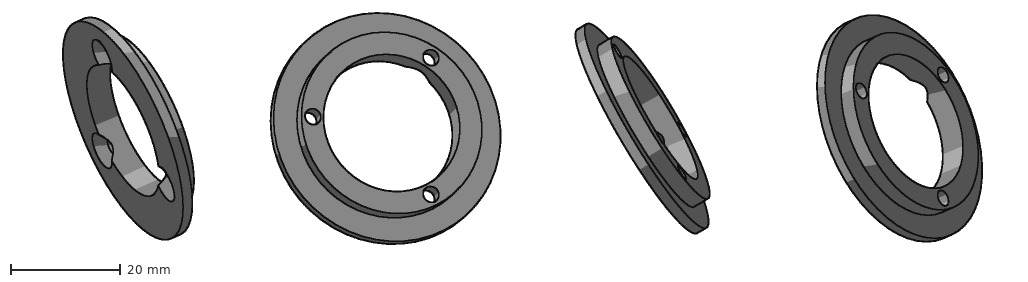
import cadquery as cq

flange_diameter = 43.3
flange_thickness = 2.0
spigot_diameter = 34.4
total_thickness = 5.0
bore_diameter = 26.0

screw_count = 3
screw_circle_diameter = 30.0
screw_hole_diameter = 3.0
countersink_diameter = 7.0
countersink_angle = 90.0

flange = cq.Workplane("XZ").circle(flange_diameter / 2).extrude(-flange_thickness)
spigot = cq.Workplane("XZ").circle(spigot_diameter / 2).extrude(-total_thickness)
bore = cq.Workplane("XZ").circle(bore_diameter / 2).extrude(-total_thickness)
ring = flange.union(spigot).cut(bore)

result = (
    ring.copyWorkplane(cq.Workplane("XZ"))
    .polarArray(screw_circle_diameter / 2, 0, 360, screw_count)
    .cskHole(screw_hole_diameter, countersink_diameter, countersink_angle)
)